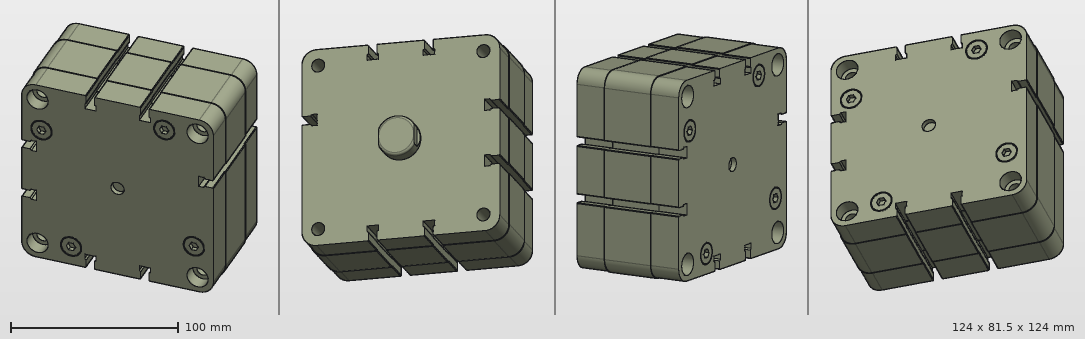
import cadquery as cq
import math

middle_width = 124.0
cap_inset = 0.5
cap_width = middle_width - 2 * cap_inset
middle_corner_radius = 9.5
cap_corner_radius = middle_corner_radius - cap_inset
cap_length = 19.5
middle_length = 32.5
body_length = 2 * cap_length + middle_length

slot_offset = 17.5
slot_neck_width = 5.2
slot_head_width = 7.1
slot_mouth_chamfer = 0.5
slot_neck_depth = 5.3
slot_depth = 9.4

slots = [(side, place) for side in (0, 180, 270) for place in (-slot_offset, slot_offset)]
slots.append((90, -slot_offset))

mounting_hole_offset = 51.3
mounting_hole_diameter = 8.0
counterbore_diameter = 13.5
counterbore_depth = 9.2

screw_near_offset = 29.9
screw_far_offset = 48.9
screw_recess_diameter = 13.5
screw_head_diameter = 12.5
screw_gap_depth = 1.2
hex_across_flats = 5.1
hex_depth = 3.0

center_hole_diameter = 8.4
center_hole_depth = 3.5

rod_diameter = 25.0
rod_length = 10.0
rod_fillet = 1.6
flat_distance = 22.0
flat_length = 7.0
rod_end = body_length + rod_length


def front_plane(y):
    """Plane at height y along the axis: local x is X, local y is Z, normal is -Y."""
    return cq.Workplane("XZ", origin=(0, y, 0))


def slot_cutter(start, length, section_width, side, place):
    """Chamfered T-slot running along Y, cut into one side of a section."""
    edge = section_width / 2
    neck = slot_neck_width / 2
    head = slot_head_width / 2
    mouth = neck + slot_mouth_chamfer
    half_profile = [
        (mouth, edge),
        (neck, edge - slot_mouth_chamfer),
        (neck, edge - slot_neck_depth),
        (head, edge - slot_neck_depth - (head - neck)),
        (head, edge - slot_depth),
    ]
    mirrored = [(-x, z) for x, z in reversed(half_profile)]
    profile = [(x + place, z) for x, z in half_profile + mirrored]
    cutter = front_plane(start).polyline(profile).close().extrude(-length)
    return cutter.rotate((0, 0, 0), (0, 1, 0), side)


def body_section(start, length, width, corner_radius):
    """Rounded square section with its slots."""
    section = front_plane(start).rect(width, width).extrude(-length)
    section = section.edges("|Y").fillet(corner_radius)
    for side, place in slots:
        section = section.cut(slot_cutter(start, length, width, side, place))
    return section


def piston_rod():
    """Rounded rod end with two flats that run out at 45 degrees."""
    rod = front_plane(body_length).circle(rod_diameter / 2).extrude(-rod_length)
    rod = rod.faces(">Y").edges().fillet(rod_fillet)
    flat_x = flat_distance / 2
    flat_start = rod_end - flat_length
    outside = rod_diameter
    runout = outside - flat_x
    flat_profile = [
        (flat_x, rod_end),
        (flat_x, flat_start),
        (outside, flat_start - runout),
        (outside, rod_end),
    ]
    flat_cutter = cq.Workplane("XY").polyline(flat_profile).close().extrude(rod_diameter / 2, both=True)
    return rod.cut(flat_cutter).cut(flat_cutter.mirror("YZ"))


front_cap = body_section(0, cap_length, cap_width, cap_corner_radius)
middle = body_section(cap_length, middle_length, middle_width, middle_corner_radius)
rear_cap = body_section(cap_length + middle_length, cap_length, cap_width, cap_corner_radius)
result = front_cap.union(middle).union(rear_cap).union(piston_rod())

mounting_points = [
    (x, z)
    for x in (-mounting_hole_offset, mounting_hole_offset)
    for z in (-mounting_hole_offset, mounting_hole_offset)
]
mounting_holes = front_plane(0).pushPoints(mounting_points)
result = result.cut(mounting_holes.circle(mounting_hole_diameter / 2).extrude(-body_length))
result = result.cut(mounting_holes.circle(counterbore_diameter / 2).extrude(-counterbore_depth))

screw_points = [
    (screw_near_offset, screw_far_offset),
    (screw_far_offset, -screw_near_offset),
    (-screw_near_offset, -screw_far_offset),
    (-screw_far_offset, screw_near_offset),
]
screws = front_plane(0).pushPoints(screw_points)
screw_recesses = screws.circle(screw_recess_diameter / 2).extrude(-screw_gap_depth)
screw_heads = screws.circle(screw_head_diameter / 2).extrude(-screw_gap_depth)
hex_across_corners = hex_across_flats / math.cos(math.pi / 6)
hex_sockets = screws.polygon(6, hex_across_corners).extrude(-hex_depth)
result = result.cut(screw_recesses.cut(screw_heads)).cut(hex_sockets)

result = result.cut(front_plane(0).circle(center_hole_diameter / 2).extrude(-center_hole_depth))